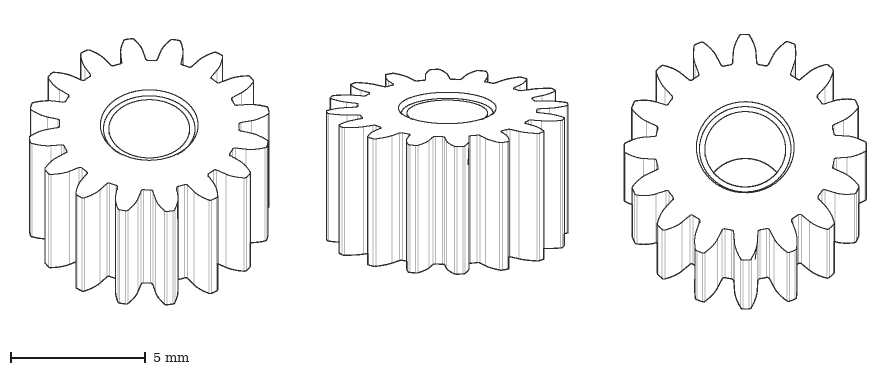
import math

import cadquery as cq

module = 0.5
tooth_count = 16
pressure_angle = math.radians(20)
face_width = 5.0
root_radius = 3.335
flank_join_radius = 3.8
tip_round = 0.1
root_fillet = 0.09

bore_diameter = 3.0
recess_top_diameter = 3.63
recess_floor_diameter = 3.4
recess_depth = 0.2

pitch_radius = module * tooth_count / 2
tip_radius = pitch_radius + module
base_radius = pitch_radius * math.cos(pressure_angle)
tooth_pitch = 2 * math.pi / tooth_count
straight_flank_tilt = math.radians(15)
flank_spans = 6
radius_tolerance = 0.01


def polar(radius, angle):
    return (radius * math.cos(angle), radius * math.sin(angle))


def involute(angle):
    return math.tan(angle) - angle


def half_tooth_angle(radius):
    """Half the angle a tooth spans on its involute flanks at the given radius."""
    local_pressure_angle = math.acos(base_radius / radius)
    return tooth_pitch / 4 + involute(pressure_angle) - involute(local_pressure_angle)


def straight_flank_foot():
    """Gap half angle where the straight flank meets the root circle."""
    join_half_gap = tooth_pitch / 2 - half_tooth_angle(flank_join_radius)
    join_along, join_across = polar(flank_join_radius, join_half_gap)
    line_offset = join_across * math.cos(straight_flank_tilt) - join_along * math.sin(straight_flank_tilt)
    return straight_flank_tilt + math.asin(line_offset / root_radius)


def make_gap_cutter():
    """Prism of one tooth gap, centred on the X axis, with rounded root corners."""
    radius_step = (tip_radius - flank_join_radius) / flank_spans
    flank_radii = [flank_join_radius + i * radius_step for i in range(flank_spans + 1)]
    half_gaps = [tooth_pitch / 2 - half_tooth_angle(radius) for radius in flank_radii]
    upper_flank = [polar(r, a) for r, a in zip(flank_radii, half_gaps)]
    lower_flank = [polar(r, -a) for r, a in zip(flank_radii, half_gaps)]
    foot_angle = straight_flank_foot()
    gap = (
        cq.Workplane("XY")
        .moveTo(*polar(root_radius, -foot_angle))
        .threePointArc((root_radius, 0), polar(root_radius, foot_angle))
        .lineTo(*upper_flank[0])
        .spline(upper_flank[1:], includeCurrent=True)
        .threePointArc((tip_radius, 0), lower_flank[-1])
        .spline(lower_flank[-2::-1], includeCurrent=True)
        .close()
        .extrude(face_width)
    )
    return gap


def make_toothed_blank():
    blank = cq.Workplane("XY").circle(tip_radius).extrude(face_width)
    gap = make_gap_cutter()
    for i in range(tooth_count):
        blank = blank.cut(gap.rotate((0, 0, 0), (0, 0, 1), math.degrees(i * tooth_pitch)))
    return blank


def cut_bore(gear):
    bore = cq.Workplane("XY").circle(bore_diameter / 2).extrude(face_width)
    recess = (
        cq.Workplane("XY", origin=(0, 0, face_width - recess_depth))
        .circle(recess_floor_diameter / 2)
        .workplane(offset=recess_depth)
        .circle(recess_top_diameter / 2)
        .loft(ruled=True)
    )
    return gear.cut(bore).cut(recess)


def fillet_edges_at(gear, radius, fillet_radius):
    """Fillet all vertical edges at the given distance from the gear axis."""
    edges = [
        edge
        for edge in gear.edges("|Z").vals()
        if abs(math.hypot(edge.Center().x, edge.Center().y) - radius) < radius_tolerance
    ]
    return gear.newObject(edges).fillet(fillet_radius)


gear = make_toothed_blank()
gear = fillet_edges_at(gear, tip_radius, tip_round)
gear = fillet_edges_at(gear, root_radius, root_fillet)
result = cut_bore(gear)